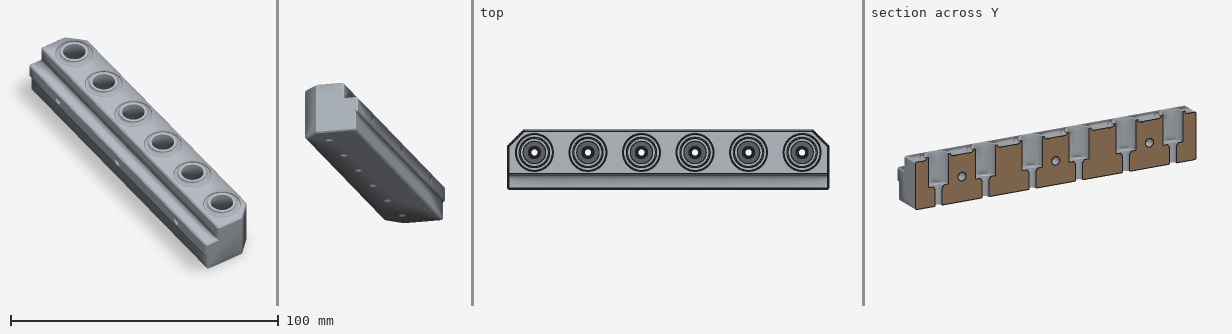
import cadquery as cq

length = 120.0
depth = 22.2
block_height = 19.0
upper_depth = 16.8
rail_projection = 0.8
rail_bottom = 7.1
ledge_height = 13.0
corner_cut = 6.0
edge_chamfer = 0.5

bushing_count = 6
pitch = length / bushing_count
bushing_y = depth - upper_depth / 2
bushing_height = 1.1
collar_base_diameter = 11.4
collar_diameter = 10.5
collar_flare_height = 0.5
bore_diameter = 8.4
bore_depth = 12.0
groove_diameter = 14.2
groove_size = 0.4

mouth_diameter = 4.5
upper_step_diameter = 4.1
lower_step_diameter = 3.2
outlet_diameter = 2.8
step_depth = 0.6

mount_diameter = 3.2
outer_mount_height = 10.0
middle_mount_height = 9.5

upper_front = depth - upper_depth
bushing_top = block_height + bushing_height
tolerance = 0.01


def stepped_block():
    profile = [
        (rail_projection, 0),
        (depth, 0),
        (depth, block_height),
        (upper_front, block_height),
        (upper_front, ledge_height),
        (0, ledge_height),
        (0, rail_bottom),
        (rail_projection, rail_bottom),
    ]
    block = cq.Workplane("YZ").polyline(profile).close().extrude(length)
    rear_corners = cq.selectors.BoxSelector(
        (-1.2, depth - tolerance, -1.2), (length + 1.2, depth + tolerance, block_height + 1.2)
    )
    return block.edges("|Z").edges(rear_corners).chamfer(corner_cut)


def bevelled(block):
    """Bevel the block outline, leaving the rear corner edges and inner corners sharp."""

    def outer_edge(edge):
        box = edge.BoundingBox()
        on_end = box.xmax < tolerance or box.xmin > length - tolerance
        on_rear_cut = box.ymin > depth - corner_cut - tolerance and box.zmax - box.zmin > tolerance
        on_top = box.zmin > block_height - tolerance
        on_bottom = box.zmax < tolerance
        on_rail_front = box.ymax < tolerance
        return (on_end or on_top or on_bottom or on_rail_front) and not on_rear_cut

    return block.newObject([e for e in block.edges().vals() if outer_edge(e)]).chamfer(edge_chamfer)


def cylinder(diameter, bottom, top):
    return cq.Workplane("XY").workplane(offset=bottom).circle(diameter / 2).extrude(top - bottom)


def revolved(points):
    """Revolve (radius, z) points about the vertical axis."""
    return cq.Workplane("XZ").polyline(points).close().revolve(360, (0, 0, 0), (0, 1, 0))


def collar():
    return revolved([
        (0, block_height - groove_size),
        (collar_base_diameter / 2, block_height - groove_size),
        (collar_base_diameter / 2, block_height),
        (collar_diameter / 2, block_height + collar_flare_height),
        (collar_diameter / 2, bushing_top),
        (0, bushing_top),
    ])


def groove():
    radius = groove_diameter / 2
    return revolved([
        (radius - groove_size, block_height),
        (radius, block_height),
        (radius, block_height - groove_size),
    ])


def stepped_bore():
    floor = bushing_top - bore_depth
    mouth_depth = (mouth_diameter - upper_step_diameter) / 2
    bore = cylinder(bore_diameter, floor, bushing_top)
    bore = bore.union(revolved([
        (0, floor),
        (mouth_diameter / 2, floor),
        (upper_step_diameter / 2, floor - mouth_depth),
        (upper_step_diameter / 2, floor - step_depth),
        (0, floor - step_depth),
    ]))
    bore = bore.union(cylinder(lower_step_diameter, floor - 2 * step_depth, floor))
    return bore.union(cylinder(outlet_diameter, 0, floor))


def mounting_hole(x, z):
    return cq.Workplane("XZ").center(x, z).circle(mount_diameter / 2).extrude(-depth)


result = bevelled(stepped_block())

for i in range(bushing_count):
    place = (pitch * (i + 0.5), bushing_y, 0)
    result = result.cut(groove().translate(place))
    result = result.union(collar().translate(place))
    result = result.cut(stepped_bore().translate(place))

for x, z in [
    (pitch, outer_mount_height),
    (length / 2, middle_mount_height),
    (length - pitch, outer_mount_height),
]:
    result = result.cut(mounting_hole(x, z))